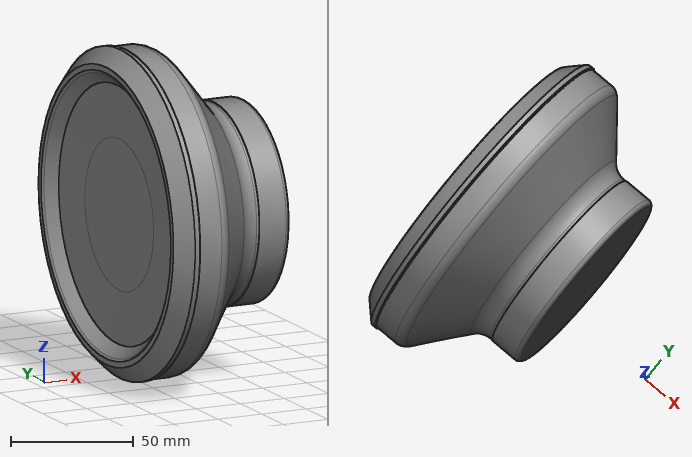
import cadquery as cq
import math


length = 63.0
ring_radius = 69.0

ring_depth = 9.3
ring_face_radius = 62.4
ring_chamfer_length = 6.6
ring_lip_outer_radius = 59.9
ring_lip_inner_radius = 58.8
ring_lip_depth = 0.7
ring_bore_radius = 54.3
ring_taper_end = 5.2

groove_width = 0.4
groove_radius = 134.0 / 2

rim_radius = 137.0 / 2
rim_end = 18.9
shoulder_fillet = 5.4
cone_angle = math.radians(50.5)
neck_radius = 84.6 / 2
neck_fillet = 9.7
collar_radius = 85.0 / 2
collar_length = 14.1
collar_fillet = 2.1

dish_flat_radius = 31.8
dish_depth = 0.7


def revolve_about_x(profile):
    """Turn a closed (x, radius) profile a full turn about the X axis."""
    return profile.close().revolve(360, (0, 0, 0), (1, 0, 0))


def make_ring():
    """Bevelled ring with a tapered bore and a stepped front lip."""
    return revolve_about_x(
        cq.Workplane("XY")
        .moveTo(0, ring_lip_outer_radius)
        .lineTo(0, ring_face_radius)
        .lineTo(ring_chamfer_length, ring_radius)
        .lineTo(ring_depth - groove_width, ring_radius)
        .lineTo(ring_depth - groove_width, groove_radius)
        .lineTo(ring_depth, groove_radius)
        .lineTo(ring_depth, ring_bore_radius)
        .lineTo(ring_taper_end, ring_bore_radius)
        .lineTo(ring_lip_depth, ring_lip_inner_radius)
    )


def make_housing():
    """Solid flared housing: boss filling the ring, wide rim, tangent shoulder, cone, neck and collar."""
    sine = math.sin(cone_angle)
    cosine = math.cos(cone_angle)
    half_sine = math.sin(cone_angle / 2)
    half_cosine = math.cos(cone_angle / 2)

    shoulder_centre = rim_radius - shoulder_fillet
    shoulder_middle = (rim_end + shoulder_fillet * half_sine, shoulder_centre + shoulder_fillet * half_cosine)
    cone_start = (rim_end + shoulder_fillet * sine, shoulder_centre + shoulder_fillet * cosine)

    neck_centre = neck_radius + neck_fillet
    cone_end_radius = neck_centre - neck_fillet * cosine
    cone_end_x = cone_start[0] + (cone_start[1] - cone_end_radius) / math.tan(cone_angle)
    neck_start = cone_end_x + neck_fillet * sine
    neck_middle = (neck_start - neck_fillet * half_sine, neck_centre - neck_fillet * half_cosine)

    collar_start = length - collar_length
    profile = (
        cq.Workplane("XY")
        .moveTo(ring_taper_end + dish_depth, 0)
        .lineTo(ring_taper_end + dish_depth, dish_flat_radius)
        .lineTo(ring_taper_end, ring_bore_radius)
        .lineTo(ring_depth, ring_bore_radius)
        .lineTo(ring_depth, rim_radius)
        .lineTo(rim_end, rim_radius)
        .threePointArc(shoulder_middle, cone_start)
        .lineTo(cone_end_x, cone_end_radius)
        .threePointArc(neck_middle, (neck_start, neck_radius))
        .lineTo(collar_start, neck_radius)
        .lineTo(collar_start, collar_radius)
        .lineTo(length, collar_radius)
        .lineTo(length, 0)
    )
    return revolve_about_x(profile).faces(">X").edges().fillet(collar_fillet)


ring = make_ring()
housing = make_housing()
result = cq.Compound.makeCompound([ring.val(), housing.val()])